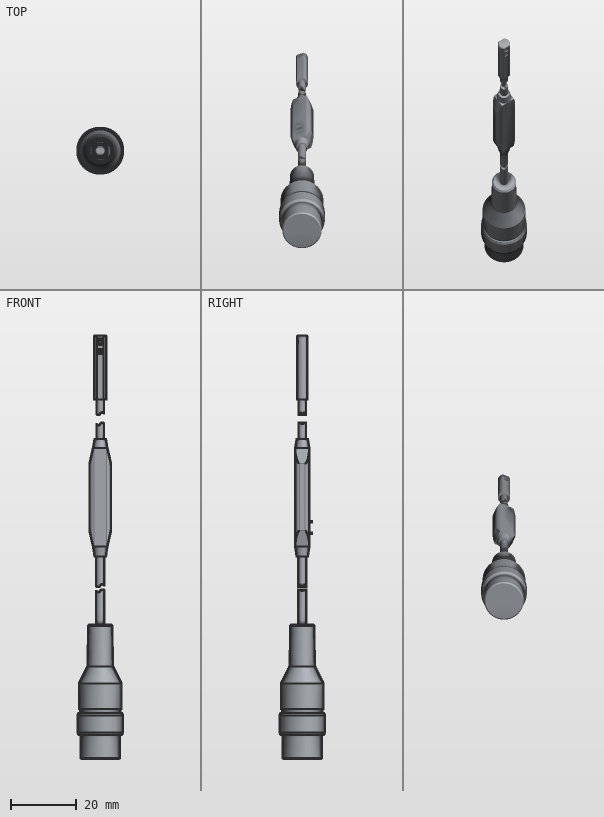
import cadquery as cq

TOTAL_HEIGHT = 129.1

BARREL_DIAMETER = 12.0
BODY_DIAMETER = 13.0
RING_DIAMETER = 14.0
GROOVE_DIAMETER = 12.3
NECK_BASE_DIAMETER = 7.9
NECK_TOP_DIAMETER = 7.4
BARREL_TOP = 7.4
RING_BOTTOM = 8.1
RING_TOP = 13.3
RING_BEVEL_TOP = 14.1
BODY_BOTTOM = 15.2
BODY_TOP = 23.0
NECK_BOTTOM = 28.1
NECK_TOP = 41.0
BARREL_CHAMFER = 0.4
NECK_CHAMFER = 0.5

THICK_CABLE_DIAMETER = 2.6
THIN_CABLE_DIAMETER = 2.3
BREAK_WAVE = 0.4
PLUG_CABLE_END = 51.3
AMPLIFIER_LOWER_CABLE_END = 52.8
AMPLIFIER_UPPER_CABLE_END = 102.1
HEAD_CABLE_END = 105.2

AMPLIFIER_WIDTH = 6.6
AMPLIFIER_DEPTH = 4.4
AMPLIFIER_CORNER_RADIUS = 1.4
AMPLIFIER_BOTTOM = 64.8
AMPLIFIER_TOP = 94.8
TAPER_LENGTH = 4.8
UPPER_SLEEVE_LENGTH = 2.7
LOWER_SLEEVE_LENGTH = 3.1
SLEEVE_END_DIAMETER = 3.5
RIB_WIDTH = 2.3
RIB_THICKNESS = 0.4
RIB_PROJECTION = 0.8
RIB_HEIGHTS = (68.8, 72.3)

HEAD_DIAMETER = 3.7
HEAD_DEPTH = 3.1
HEAD_BOTTOM = 109.6
HEAD_TOP_FILLET = 0.5
DIMPLE_HEIGHT = 127.2
DIMPLE_RIM_DIAMETER = 2.0
DIMPLE_DIAMETER = 1.2
SCREW_HEIGHT = 124.2
SCREW_DIAMETER = 1.5
SCREW_SOCKET_DIAMETER = 0.8
RECESS_DEPTH = 0.3
POCKET_DEPTH = 0.5


def cable(diameter, fixed_end, broken_end):
    """Round cable whose free end is cut along an S-shaped wave."""
    r = diameter / 2
    profile = (
        cq.Workplane("XZ")
        .moveTo(-r, fixed_end)
        .lineTo(-r, broken_end)
        .threePointArc((-r / 2, broken_end - BREAK_WAVE), (0, broken_end))
        .threePointArc((r / 2, broken_end + BREAK_WAVE), (r, broken_end))
        .lineTo(r, fixed_end)
        .close()
        .extrude(r, both=True)
    )
    low = min(fixed_end, broken_end) - BREAK_WAVE
    high = max(fixed_end, broken_end) + BREAK_WAVE
    rod = cq.Workplane("XY").workplane(offset=low).circle(r).extrude(high - low)
    return rod.intersect(profile)


def make_plug():
    """Turned plug with a bevelled grip ring and a tapered neck, plus its cable stub."""
    neck_r = NECK_TOP_DIAMETER / 2
    barrel_r = BARREL_DIAMETER / 2
    body_r = BODY_DIAMETER / 2
    ring_r = RING_DIAMETER / 2
    groove_r = GROOVE_DIAMETER / 2
    body = (
        cq.Workplane("XZ")
        .polyline([
            (0, 0),
            (barrel_r - BARREL_CHAMFER, 0),
            (barrel_r, BARREL_CHAMFER),
            (barrel_r, BARREL_TOP),
            (body_r, BARREL_TOP),
            (ring_r, RING_BOTTOM),
            (ring_r, RING_TOP),
            (body_r, RING_BEVEL_TOP),
            (groove_r, RING_BEVEL_TOP),
            (groove_r, BODY_BOTTOM),
            (body_r, BODY_BOTTOM),
            (body_r, BODY_TOP),
            (NECK_BASE_DIAMETER / 2, NECK_BOTTOM),
            (neck_r, NECK_TOP - NECK_CHAMFER),
            (neck_r - NECK_CHAMFER, NECK_TOP),
            (0, NECK_TOP),
        ])
        .close()
        .revolve(360, (0, 0, 0), (0, 1, 0))
    )
    return body.union(cable(THICK_CABLE_DIAMETER, NECK_TOP, PLUG_CABLE_END))


def sleeve(base, end):
    """Cone from the full amplifier depth at `base` to the sleeve end at `end`."""
    return (
        cq.Workplane("XZ")
        .polyline([(0, base), (AMPLIFIER_DEPTH / 2, base), (SLEEVE_END_DIAMETER / 2, end), (0, end)])
        .close()
        .revolve(360, (0, 0, 0), (0, 1, 0))
    )


def make_amplifier():
    """Rounded bar with tapered ends, a sleeve and a cable stub at each end, and rear ribs."""
    length = AMPLIFIER_TOP - AMPLIFIER_BOTTOM
    block = (
        cq.Workplane("XY")
        .workplane(offset=AMPLIFIER_BOTTOM)
        .rect(AMPLIFIER_WIDTH, AMPLIFIER_DEPTH)
        .extrude(length)
        .edges("|Z")
        .fillet(AMPLIFIER_CORNER_RADIUS)
    )
    half_width = AMPLIFIER_WIDTH / 2
    half_end = AMPLIFIER_DEPTH / 2
    outline = (
        cq.Workplane("XZ")
        .polyline([
            (-half_end, AMPLIFIER_BOTTOM),
            (half_end, AMPLIFIER_BOTTOM),
            (half_width, AMPLIFIER_BOTTOM + TAPER_LENGTH),
            (half_width, AMPLIFIER_TOP - TAPER_LENGTH),
            (half_end, AMPLIFIER_TOP),
            (-half_end, AMPLIFIER_TOP),
            (-half_width, AMPLIFIER_TOP - TAPER_LENGTH),
            (-half_width, AMPLIFIER_BOTTOM + TAPER_LENGTH),
        ])
        .close()
        .extrude(AMPLIFIER_DEPTH, both=True)
    )

    lower_end = AMPLIFIER_BOTTOM - LOWER_SLEEVE_LENGTH
    upper_end = AMPLIFIER_TOP + UPPER_SLEEVE_LENGTH
    amplifier = (
        block.intersect(outline)
        .union(sleeve(AMPLIFIER_BOTTOM, lower_end))
        .union(sleeve(AMPLIFIER_TOP, upper_end))
        .union(cable(THICK_CABLE_DIAMETER, lower_end, AMPLIFIER_LOWER_CABLE_END))
        .union(cable(THIN_CABLE_DIAMETER, upper_end, AMPLIFIER_UPPER_CABLE_END))
    )

    for height in RIB_HEIGHTS:
        rib = (
            cq.Workplane("XZ", origin=(0, AMPLIFIER_DEPTH / 2, height))
            .rect(RIB_WIDTH, RIB_THICKNESS)
            .extrude(-RIB_PROJECTION)
        )
        amplifier = amplifier.union(rib)
    return amplifier


def face_pocket(height, rim_diameter, mouth_diameter, bottom_diameter):
    """Cutter for a round recess in the front flat with a smaller pocket in its floor."""
    floor = RECESS_DEPTH
    bottom = RECESS_DEPTH + POCKET_DEPTH
    rim_r = rim_diameter / 2
    mouth_r = mouth_diameter / 2
    profile = [(0, 0), (rim_r, 0), (rim_r, floor), (mouth_r, floor), (bottom_diameter / 2, bottom)]
    if bottom_diameter > 0:
        profile.append((0, bottom))
    return (
        cq.Workplane("XY", origin=(0, -HEAD_DEPTH / 2, height))
        .polyline(profile)
        .close()
        .revolve(360, (0, 0, 0), (0, 1, 0))
    )


def make_head():
    """Round sensor head with two flats, a dimple and a screw in the front flat, and a cable stub."""
    length = TOTAL_HEIGHT - HEAD_BOTTOM
    flats = cq.Workplane("XY").workplane(offset=HEAD_BOTTOM).rect(HEAD_DIAMETER, HEAD_DEPTH).extrude(length)
    body = (
        cq.Workplane("XY")
        .workplane(offset=HEAD_BOTTOM)
        .circle(HEAD_DIAMETER / 2)
        .extrude(length)
        .intersect(flats)
        .faces(">Z")
        .edges()
        .fillet(HEAD_TOP_FILLET)
    )
    dimple = face_pocket(DIMPLE_HEIGHT, DIMPLE_RIM_DIAMETER, DIMPLE_DIAMETER, 0)
    screw = face_pocket(SCREW_HEIGHT, SCREW_DIAMETER, SCREW_SOCKET_DIAMETER, SCREW_SOCKET_DIAMETER)
    body = body.cut(dimple).cut(screw)
    return body.union(cable(THIN_CABLE_DIAMETER, HEAD_BOTTOM, HEAD_CABLE_END))


plug = make_plug()
amplifier = make_amplifier()
head = make_head()

result = cq.Compound.makeCompound([plug.val(), amplifier.val(), head.val()])